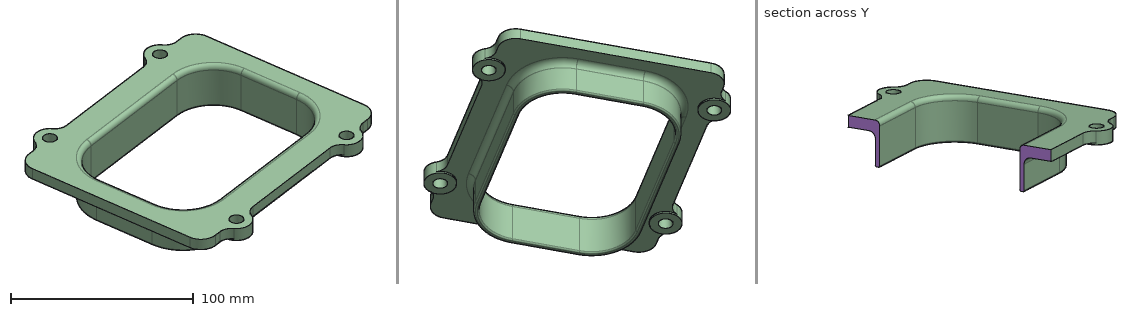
import cadquery as cq
import math

plate_width = 128.0
plate_length = 158.0
plate_thickness = 7.0
plate_corner_radius = 10.0

ear_radius = 18.0 / 2
ear_half_spacing = 50.0
ear_blend_radius = 8.0
ear_thickness = 8.0
hole_diameter = 8.0
ear_centers = [
    (side * plate_width / 2, end * ear_half_spacing)
    for side in (-1, 1)
    for end in (-1, 1)
]

total_height = 27.0
collar_width = 94.0
collar_length = 134.0
collar_corner_radius = 28.0
wall = 3.0
root_fillet = 4.0
mouth_fillet = wall
rim_fillet = 1.0

selection_margin = 0.2


def rounded_block(width, length, corner_radius, height):
    """Block with rounded vertical edges, extending down from Z = 0."""
    block = cq.Workplane("XY").rect(width, length).extrude(-height)
    return block.edges("|Z").fillet(corner_radius)


def edges_near(height):
    """Selector for collar and opening edges lying at the given height."""
    half_width = collar_width / 2 + selection_margin
    half_length = collar_length / 2 + selection_margin
    return cq.selectors.BoxSelector(
        (-half_width, -half_length, height - selection_margin),
        (half_width, half_length, height + selection_margin),
    )


def ear_blend(center, end):
    """Concave fill between one side of an ear and the plate edge."""
    x, y = center
    side = math.copysign(1, x)
    reach = ear_radius + ear_blend_radius
    offset = math.sqrt(reach**2 - ear_blend_radius**2)
    arc_x = x + side * ear_blend_radius
    arc_y = y + end * offset
    touch = ear_radius / reach
    ear_point = (x + side * ear_blend_radius * touch, y + end * offset * touch)
    edge_point = (x, arc_y)
    half_angle = math.atan2(offset, ear_blend_radius) / 2
    arc_middle = (
        arc_x - side * ear_blend_radius * math.cos(half_angle),
        arc_y - end * ear_blend_radius * math.sin(half_angle),
    )
    return (
        cq.Workplane("XY")
        .moveTo(x, y)
        .lineTo(*ear_point)
        .threePointArc(arc_middle, edge_point)
        .close()
        .extrude(-plate_thickness)
    )


body = rounded_block(plate_width, plate_length, plate_corner_radius, plate_thickness)
collar = rounded_block(collar_width, collar_length, collar_corner_radius, total_height)
body = body.union(collar)
collar_root = edges_near(-plate_thickness)
body = body.edges(collar_root).fillet(root_fillet)

opening = rounded_block(
    collar_width - 2 * wall,
    collar_length - 2 * wall,
    collar_corner_radius - wall,
    total_height,
)
body = body.cut(opening)
body = body.edges(edges_near(0)).fillet(mouth_fillet)
body = body.faces("<Z").edges().fillet(rim_fillet)

ears = cq.Workplane("XY").pushPoints(ear_centers).circle(ear_radius).extrude(-ear_thickness)
body = body.union(ears)
for ear_center in ear_centers:
    for blend_end in (-1, 1):
        body = body.union(ear_blend(ear_center, blend_end))

holes = cq.Workplane("XY").pushPoints(ear_centers).circle(hole_diameter / 2).extrude(-ear_thickness)
result = body.cut(holes)